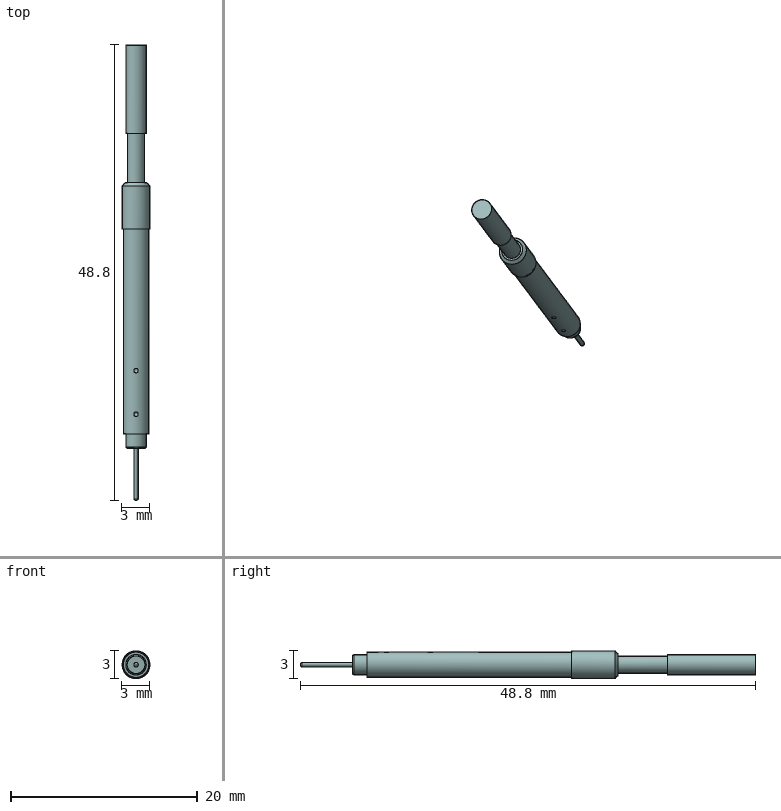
import cadquery as cq

TOTAL_LENGTH = 48.8
TAIL_LENGTH = 9.45
NECK_LENGTH = 5.25
COLLAR_LENGTH = 5.0
BODY_LENGTH = 21.95
NOSE_LENGTH = 1.55

TAIL_DIAMETER = 2.2
NECK_DIAMETER = 1.85
COLLAR_DIAMETER = 3.0
BODY_DIAMETER = 2.75
NOSE_DIAMETER = 2.2
PIN_DIAMETER = 0.5

COLLAR_CHAMFER = 0.35
NOSE_CHAMFER = 0.15
PIN_ROUNDING = 0.2

DIMPLE_DIAMETER = 0.5
DIMPLE_DEPTH = 0.15
FIRST_DIMPLE_OFFSET = 2.1
DIMPLE_SPACING = 4.7
DIMPLE_PAIRS = 2

tail_end = TOTAL_LENGTH / 2
neck_start = tail_end - TAIL_LENGTH
collar_start = neck_start - NECK_LENGTH
body_start = collar_start - COLLAR_LENGTH
nose_start = body_start - BODY_LENGTH
pin_start = nose_start - NOSE_LENGTH
pin_tip = -TOTAL_LENGTH / 2


def rod(diameter, start, end):
    """Solid cylinder on the Y axis running in -Y from start to end."""
    return cq.Workplane("XZ", origin=(0, start, 0)).circle(diameter / 2).extrude(start - end)


def dimple_pair(y):
    """Two cutting balls, one sunk into the top of the body and one into the bottom."""
    ball_radius = ((DIMPLE_DIAMETER / 2) ** 2 + DIMPLE_DEPTH ** 2) / (2 * DIMPLE_DEPTH)
    ball_height = BODY_DIAMETER / 2 - DIMPLE_DEPTH + ball_radius
    top_ball = cq.Workplane("XY", origin=(0, y, ball_height)).sphere(ball_radius)
    return top_ball.union(top_ball.mirror("XY"))


tail = rod(TAIL_DIAMETER, tail_end, neck_start)
neck = rod(NECK_DIAMETER, neck_start, collar_start)
collar = rod(COLLAR_DIAMETER, collar_start, body_start).faces(">Y").chamfer(COLLAR_CHAMFER)
body = rod(BODY_DIAMETER, body_start, nose_start)
nose = rod(NOSE_DIAMETER, nose_start, pin_start).faces("<Y").chamfer(NOSE_CHAMFER)
pin = rod(PIN_DIAMETER, pin_start, pin_tip).faces("<Y").fillet(PIN_ROUNDING)

result = tail.union(neck).union(collar).union(body).union(nose).union(pin)

for index in range(DIMPLE_PAIRS):
    result = result.cut(dimple_pair(nose_start + FIRST_DIMPLE_OFFSET + index * DIMPLE_SPACING))